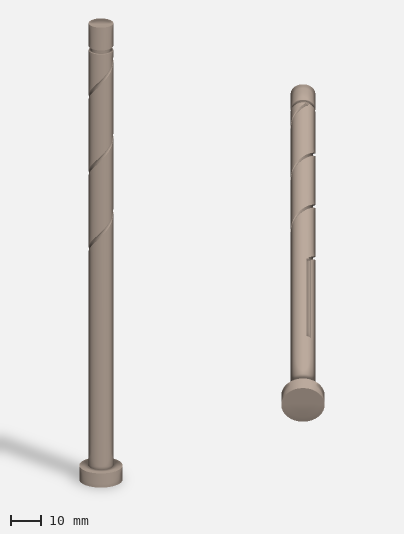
import cadquery as cq

length = 160.0
head_diameter = 14.0
head_height = 5.0
shaft_radius = 4.0

ring_top = length - 8.0
ring_width = 1.5
ring_bottom = ring_top - ring_width
ring_depth = 0.6

helix_turns = 3
helix_length = 80.0
groove_radius = 0.8
helix_top = 150.7
helix_bottom = helix_top - helix_length

straight_bottom = 30.7


def make_rod(radius, bottom, top):
    """Round rod on the Z axis, with its seam turned to the -X side."""
    rod = cq.Workplane("XY", origin=(0, 0, bottom)).circle(radius).extrude(top - bottom)
    return rod.rotate((0, 0, 0), (0, 0, 1), 180)


def make_helix_cutter():
    """Round bar wound right-handed, starting and ending at +Y."""
    path = cq.Wire.makeHelix(helix_length / helix_turns, helix_length, shaft_radius)
    coil = (
        cq.Workplane("XZ", origin=(shaft_radius, 0, 0))
        .circle(groove_radius)
        .sweep(cq.Workplane(path), isFrenet=True)
    )
    return coil.rotate((0, 0, 0), (0, 0, 1), 90).translate((0, 0, helix_bottom))


def make_straight_cutter():
    """Round bar along +Y that carries the groove straight down from the helix."""
    bar = make_rod(groove_radius, straight_bottom, helix_bottom)
    return bar.translate((0, shaft_radius, 0))


head = make_rod(head_diameter / 2, 0, head_height)
shaft = make_rod(shaft_radius, 0, ring_bottom).cut(make_helix_cutter()).cut(make_straight_cutter())
neck = make_rod(shaft_radius - ring_depth, ring_bottom, ring_top)
tip = make_rod(shaft_radius, ring_top, length)

result = shaft.union(head).union(neck).union(tip)